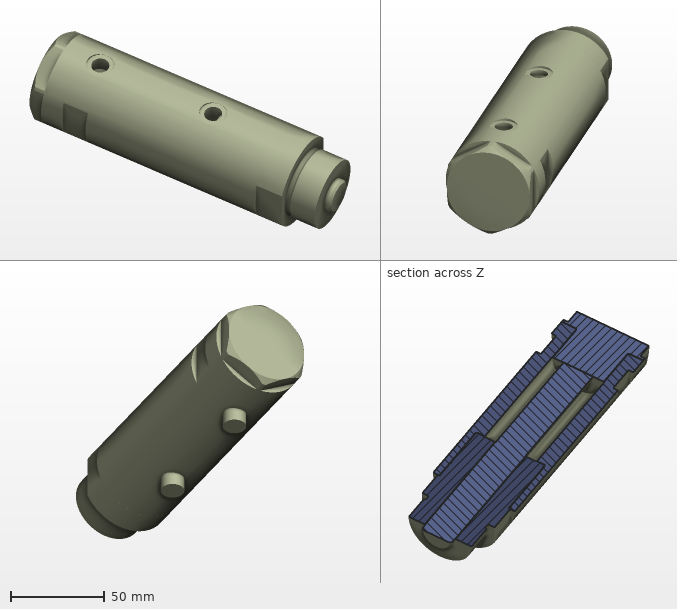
import cadquery as cq
import math


BODY_DIAMETER = 52.0
ACROSS_FLATS = 46.0
BORE_DIAMETER = 33.0
HEAD_SPIGOT_DIAMETER = 43.5
ROD_DIAMETER = 19.0

HEX_END = 8.7
HOUSING_START = 10.8
CAP_NOSE_END = 34.9
HEAD_SPIGOT_START = 102.2
HOUSING_END = 138.8
FLANGE_END = 154.3
HEAD_END = 172.5
ROD_END = 176.45

CAP_FACE_DIAMETER = 46.0
CAP_CHAMFER_LENGTH = 2.9

PORT_POSITIONS = (30.6, 99.6)
PORT_DIAMETER = 9.7
SPOT_FACE_DIAMETER = 15.0
SPOT_FACE_DEPTH = 1.2
PEG_POSITIONS = (35.0, 102.5)
PEG_DIAMETER = 12.5
PEG_HEIGHT = 7.4
WRENCH_FLAT_START = 20.8
WRENCH_FLAT_LENGTH = 15.0

THREAD_DIAMETER = 40.0
GROOVE_DIAMETER = 37.8
GROOVE_CORNER_RADIUS = 1.0
GROOVE_FLAT_LENGTH = 0.9

ROD_CHAMFER = 1.2

BODY_RADIUS = BODY_DIAMETER / 2
THREAD_RADIUS = THREAD_DIAMETER / 2


def cylinder_along_x(start, end, diameter):
    return cq.Workplane("YZ", origin=(start, 0, 0)).circle(diameter / 2).extrude(end - start)


def flat_sided_slab(start, end):
    """Block that trims a round section to two flats facing -Y and +Y."""
    middle = (start + end) / 2
    return cq.Workplane("XY", origin=(middle, 0, 0)).box(end - start, ACROSS_FLATS, BODY_DIAMETER)


def make_cap():
    """Hexagonal cap with a chamfered face, a round collar and a nose inside the bore."""
    face_radius = CAP_FACE_DIAMETER / 2
    turned_blank = (
        cq.Workplane("XY")
        .polyline([
            (0, 0),
            (0, face_radius),
            (CAP_CHAMFER_LENGTH, BODY_RADIUS),
            (HEX_END, BODY_RADIUS),
            (HEX_END, 0),
        ])
        .close()
        .revolve(360, (0, 0, 0), (1, 0, 0))
    )
    across_corners = ACROSS_FLATS / math.cos(math.radians(30))
    hexagon = cq.Workplane("YZ").transformed(rotate=(0, 0, 90)).polygon(6, across_corners).extrude(HEX_END)
    collar = cylinder_along_x(HEX_END, HOUSING_START, BODY_DIAMETER)
    nose = cylinder_along_x(HOUSING_START, CAP_NOSE_END, BORE_DIAMETER)
    return turned_blank.intersect(hexagon).union(collar).union(nose)


def cut_wrench_flats(housing):
    """Cut two short flats into the -Y and +Y sides near the cap."""
    end = WRENCH_FLAT_START + WRENCH_FLAT_LENGTH
    ring = cylinder_along_x(WRENCH_FLAT_START, end, BODY_DIAMETER)
    return housing.cut(ring.cut(flat_sided_slab(WRENCH_FLAT_START, end)))


def make_housing():
    """Tube counterbored for the head, with wrench flats, two ports on top and two pegs below."""
    housing = cylinder_along_x(HOUSING_START, HOUSING_END, BODY_DIAMETER)
    housing = cut_wrench_flats(housing)
    for x in PEG_POSITIONS:
        peg = (
            cq.Workplane("XY", origin=(x, 0, -BODY_RADIUS - PEG_HEIGHT))
            .circle(PEG_DIAMETER / 2)
            .extrude(BODY_RADIUS + PEG_HEIGHT)
        )
        housing = housing.union(peg)
    for x in PORT_POSITIONS:
        port = cq.Workplane("XY", origin=(x, 0, 0)).circle(PORT_DIAMETER / 2).extrude(BODY_RADIUS)
        spot_face = (
            cq.Workplane("XY", origin=(x, 0, BODY_RADIUS - SPOT_FACE_DEPTH))
            .circle(SPOT_FACE_DIAMETER / 2)
            .extrude(SPOT_FACE_DEPTH)
        )
        housing = housing.cut(port).cut(spot_face)
    bore = cylinder_along_x(HOUSING_START, HEAD_SPIGOT_START, BORE_DIAMETER)
    head_seat = cylinder_along_x(HEAD_SPIGOT_START, HOUSING_END, HEAD_SPIGOT_DIAMETER)
    return housing.cut(bore).cut(head_seat)


def make_threaded_end():
    """Round end behind a relief groove: a rounded corner, a flat floor, then a rounded 45 degree run-out."""
    sin_45 = math.sin(math.radians(45))
    sin_22 = math.sin(math.radians(22.5))
    cos_22 = math.cos(math.radians(22.5))
    corner = GROOVE_CORNER_RADIUS
    floor_radius = GROOVE_DIAMETER / 2
    floor_start = FLANGE_END + corner
    floor_end = floor_start + GROOVE_FLAT_LENGTH
    corner_centre_radius = floor_radius + corner
    cone_start = (floor_end + corner * sin_45, corner_centre_radius - corner * sin_45)
    thread_start = cone_start[0] + THREAD_RADIUS - cone_start[1]
    return (
        cq.Workplane("XY")
        .moveTo(FLANGE_END, 0)
        .lineTo(FLANGE_END, corner_centre_radius)
        .threePointArc(
            (floor_start - corner * sin_45, corner_centre_radius - corner * sin_45),
            (floor_start, floor_radius),
        )
        .lineTo(floor_end, floor_radius)
        .threePointArc(
            (floor_end + corner * sin_22, corner_centre_radius - corner * cos_22),
            cone_start,
        )
        .lineTo(thread_start, THREAD_RADIUS)
        .lineTo(HEAD_END, THREAD_RADIUS)
        .lineTo(HEAD_END, 0)
        .close()
        .revolve(360, (0, 0, 0), (1, 0, 0))
    )


def make_head():
    """Rod guide: spigot in the bore, flange with two flats, relief groove and threaded end."""
    spigot = cylinder_along_x(HEAD_SPIGOT_START, HOUSING_END, HEAD_SPIGOT_DIAMETER)
    flange = cylinder_along_x(HOUSING_END, FLANGE_END, BODY_DIAMETER)
    flange = flange.intersect(flat_sided_slab(HOUSING_END, FLANGE_END))
    head = spigot.union(flange).union(make_threaded_end())
    return head.cut(cylinder_along_x(HEAD_SPIGOT_START, HEAD_END, ROD_DIAMETER))


def make_rod():
    """Round rod from the cap nose out through the head, chamfered at its free end."""
    return cylinder_along_x(CAP_NOSE_END, ROD_END, ROD_DIAMETER).faces(">X").chamfer(ROD_CHAMFER)


cap = make_cap()
housing = make_housing()
head = make_head()
rod = make_rod()

result = cq.Compound.makeCompound([cap.val(), housing.val(), head.val(), rod.val()])